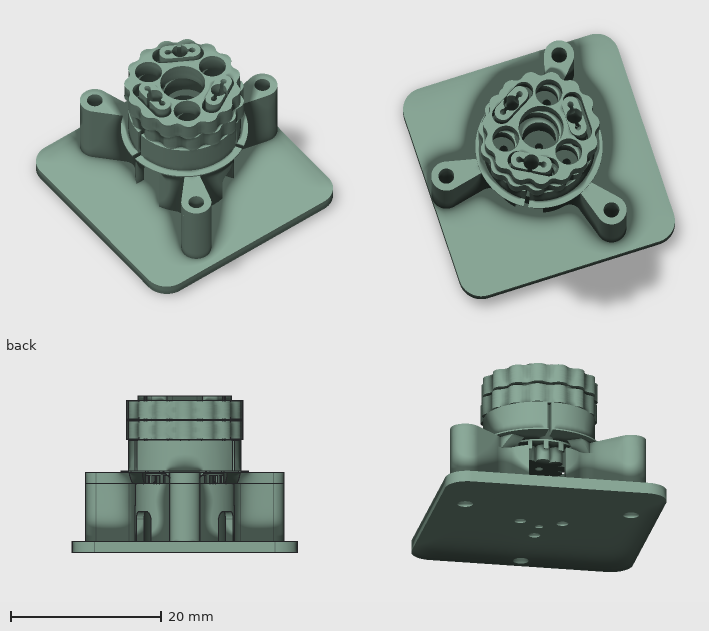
import cadquery as cq
import math

PLATE_TOP = 1.5
BASE_TOP = 9.2
ARM_TOP = 10.7
FLANGE_TOP = 10.9
HUB_TOP = 15.0
POST_TOP = 20.9

PLATE_SIDE = 30.0
PLATE_CORNER_RADIUS = 3.0
SHAFT_HOLE_DIAMETER = 1.1
MOUNT_HOLE_DIAMETER = 1.6
MOUNT_CIRCLE_RADIUS = 3.3
LEG_RADIUS = 2.0
LEG_CIRCLE_RADIUS = PLATE_SIDE / 2 - LEG_RADIUS
LEG_TAPER_ANGLE = math.radians(12.7)
BOLT_HOLE_DIAMETER = 2.1
LEG_ANGLES = (90, 210, 330)

RING_OUTER_RADIUS = 6.6
RING_INNER_RADIUS = 5.5
LEG_FILLET_RADIUS = 1.5
OPENING_WIDTH = 5.0
OPENING_ANGLE = 270
WINDOW_WIDTH = 3.8
WINDOW_TOP = 5.5
WINDOW_CORNER_RADIUS = 1.0
WINDOW_ANGLES = (30, 150)

FLANGE_RADIUS = 8.5
HUB_RADIUS = 7.5
BRACE_INNER_RADIUS = 5.67
BRACE_FOOT_WIDTH = 2.22
BRACE_HEAD_WIDTH = 5.52
HUB_BORE_DIAMETER = 4.5
PIN_HOLE_DIAMETER = 1.1
PIN_HOLE_DEPTH = 3.0
PIN_CIRCLE_RADIUS = 4.95
POST_LENGTH = 5.55
POST_WIDTH = 2.25
POST_ANGLES = (30, 150, 270)
POST_BORE_DIAMETER = 2.1
POST_LOWER_BORE_DIAMETER = 1.85
POST_BORE_STEP = 12.0
SLIT_WIDTH = 0.6
WIRE_HOLE_DIAMETER = 0.8
WIRE_HOLE_DEPTH = 4.5
WIRE_SLOT_DEPTH = 1.5
WIRE_SLOT_WIDTH = 0.48

LOBE_COUNT = 15
ECCENTRICITY = 0.3
RING_PIN_RADIUS = 0.75
DISC_LOBE_RADIUS = 7.8
RING_PIN_CIRCLE_RADIUS = DISC_LOBE_RADIUS - ECCENTRICITY + RING_PIN_RADIUS
POINTS_PER_LOBE = 12
DISC_THICKNESS = 2.5
LOWER_DISC_BOTTOM = 15.12
UPPER_DISC_BOTTOM = 17.8
DISC_BORE_DIAMETER = 6.0
DISC_ROUND_HOLE_DIAMETER = 3.6
DISC_SLOT_LENGTH = 6.93
DISC_SLOT_WIDTH = 2.58
DISC_SLOT_CIRCLE_RADIUS = PIN_CIRCLE_RADIUS + ECCENTRICITY / 2

BELL_TOP = 10.53
BELL_RADIUS = 5.25
BELL_CAP_THICKNESS = 0.25
BELL_WALL = 0.3
BELL_BAR_COUNT = 15
BELL_BAR_WIDTH = 0.6
MOTOR_BOTTOM = 8.22
MOTOR_BORE_DIAMETER = 1.1
COIL_COUNT = 9
COIL_DIAMETER = 1.85
COIL_CIRCLE_RADIUS = 2.85
CORE_RADIUS = 2.7


def polar(radius, degrees):
    angle = math.radians(degrees)
    return (radius * math.cos(angle), radius * math.sin(angle))


def cylinder(radius, bottom, top, center=(0, 0)):
    return cq.Workplane().workplane(offset=bottom).center(*center).circle(radius).extrude(top - bottom)


def turned(shape, degrees):
    return shape.rotate((0, 0, 0), (0, 0, 1), degrees)


def tangential_slot(length, width, radius, bottom, top, degrees):
    """Stadium at a radius from the part's axis, lying along the tangent."""
    stadium = (
        cq.Workplane()
        .workplane(offset=bottom)
        .center(radius, 0)
        .slot2D(length, width, 90)
        .extrude(top - bottom)
    )
    return turned(stadium, degrees)


def leg_half_width(distance):
    """Half-width of a leg's tapered stretch at a distance from the part's axis."""
    sine = math.sin(LEG_TAPER_ANGLE)
    return (LEG_RADIUS - (LEG_CIRCLE_RADIUS - distance) * sine) / math.cos(LEG_TAPER_ANGLE)


def leg(inner_distance, bottom, top, degrees):
    """Round-ended leg that narrows towards the part's axis."""
    inner_half = leg_half_width(inner_distance)
    tangent_x = LEG_CIRCLE_RADIUS - LEG_RADIUS * math.sin(LEG_TAPER_ANGLE)
    tangent_y = LEG_RADIUS * math.cos(LEG_TAPER_ANGLE)
    outline = (
        cq.Workplane()
        .workplane(offset=bottom)
        .moveTo(inner_distance, -inner_half)
        .lineTo(tangent_x, -tangent_y)
        .threePointArc((LEG_CIRCLE_RADIUS + LEG_RADIUS, 0), (tangent_x, tangent_y))
        .lineTo(inner_distance, inner_half)
        .close()
    )
    return turned(outline.extrude(top - bottom), degrees)


def bolt_holes():
    holes = cq.Workplane()
    for degrees in LEG_ANGLES:
        center = polar(LEG_CIRCLE_RADIUS, degrees)
        holes = holes.union(cylinder(BOLT_HOLE_DIAMETER / 2, 0, ARM_TOP, center))
    return holes


def radial_block(width, bottom, top, degrees):
    """Block that reaches from the part's axis out to the flange radius."""
    block = (
        cq.Workplane()
        .box(FLANGE_RADIUS, width, top - bottom, centered=(False, True, False))
        .translate((0, 0, bottom))
    )
    return turned(block, degrees)


def build_base():
    """Plate with three legs joined by a ring wall that has one opening and two windows."""
    plate = (
        cq.Workplane()
        .rect(PLATE_SIDE, PLATE_SIDE)
        .extrude(PLATE_TOP)
        .edges("|Z")
        .fillet(PLATE_CORNER_RADIUS)
    )
    wall = cylinder(RING_OUTER_RADIUS, PLATE_TOP, BASE_TOP)
    for degrees in LEG_ANGLES:
        wall = wall.union(leg(RING_INNER_RADIUS, PLATE_TOP, BASE_TOP, degrees))
    corner_reach = RING_OUTER_RADIUS
    corner_box = cq.selectors.BoxSelector(
        (-corner_reach, -corner_reach, PLATE_TOP), (corner_reach, corner_reach, BASE_TOP)
    )
    wall = wall.edges("|Z").edges(corner_box).fillet(LEG_FILLET_RADIUS)
    wall = wall.cut(cylinder(RING_INNER_RADIUS, PLATE_TOP, BASE_TOP))
    wall = wall.cut(radial_block(OPENING_WIDTH, PLATE_TOP, BASE_TOP, OPENING_ANGLE))
    for degrees in WINDOW_ANGLES:
        window = radial_block(WINDOW_WIDTH, PLATE_TOP, WINDOW_TOP, 0)
        window = window.edges("|X and >Z").fillet(WINDOW_CORNER_RADIUS)
        wall = wall.cut(turned(window, degrees))
    base = plate.union(wall).cut(bolt_holes())
    for degrees in LEG_ANGLES:
        center = polar(MOUNT_CIRCLE_RADIUS, degrees)
        base = base.cut(cylinder(MOUNT_HOLE_DIAMETER / 2, 0, PLATE_TOP, center))
    return base.cut(cylinder(SHAFT_HOLE_DIAMETER / 2, 0, PLATE_TOP))


def arm_brace(degrees):
    """Brace under the hub that widens upwards on both sides of its arm."""
    height = ARM_TOP - BASE_TOP
    foot = BRACE_FOOT_WIDTH / 2
    head = BRACE_HEAD_WIDTH / 2
    profile = [(-foot, 0), (foot, 0), (head, height), (-head, height)]
    prism = cq.Workplane("YZ").polyline(profile).close().extrude(FLANGE_RADIUS)
    prism = turned(prism.translate((0, 0, BASE_TOP)), degrees)
    annulus = cylinder(HUB_RADIUS, BASE_TOP, ARM_TOP)
    annulus = annulus.cut(cylinder(BRACE_INNER_RADIUS, BASE_TOP, ARM_TOP))
    return prism.intersect(annulus)


def post(degrees):
    return tangential_slot(POST_LENGTH, POST_WIDTH, PIN_CIRCLE_RADIUS, HUB_TOP, POST_TOP, degrees)


def post_cutter(degrees):
    """Stepped bore, outward slit and sloping wire holes of one post, as one cutting shape."""
    center = (PIN_CIRCLE_RADIUS, 0)
    cutter = cylinder(POST_BORE_DIAMETER / 2, POST_BORE_STEP, POST_TOP, center)
    cutter = cutter.union(cylinder(POST_LOWER_BORE_DIAMETER / 2, ARM_TOP, POST_BORE_STEP, center))
    slit = radial_block(SLIT_WIDTH, ARM_TOP, POST_TOP, 0)
    cutter = cutter.union(slit.translate((PIN_CIRCLE_RADIUS, 0, 0)))
    hole_offset = (POST_LENGTH - POST_WIDTH) / 2
    for side in (-1, 1):
        mouth = cq.Vector(PIN_CIRCLE_RADIUS, side * hole_offset, POST_TOP)
        foot = cq.Vector(PIN_CIRCLE_RADIUS, 0, POST_TOP - WIRE_HOLE_DEPTH)
        slope = mouth - foot
        hole = cq.Solid.makeCylinder(WIRE_HOLE_DIAMETER / 2, slope.Length + WIRE_HOLE_DIAMETER, foot, slope)
        cutter = cutter.union(cq.Workplane(hole))
    slot_length = 2 * hole_offset - WIRE_HOLE_DIAMETER / 2
    wire_slot = (
        cq.Workplane()
        .box(WIRE_SLOT_WIDTH, slot_length, WIRE_SLOT_DEPTH, centered=(True, True, False))
        .translate((PIN_CIRCLE_RADIUS, 0, POST_TOP - WIRE_SLOT_DEPTH))
    )
    return turned(cutter.union(wire_slot), degrees)


def build_hub():
    """Hub on three arms that stand on the base legs, with three posts on top."""
    hub = cylinder(FLANGE_RADIUS, ARM_TOP, FLANGE_TOP).union(cylinder(HUB_RADIUS, ARM_TOP, HUB_TOP))
    for degrees in LEG_ANGLES:
        hub = hub.union(leg(RING_OUTER_RADIUS, BASE_TOP, ARM_TOP, degrees))
        hub = hub.union(arm_brace(degrees))
    for degrees in POST_ANGLES:
        hub = hub.union(post(degrees))
    for degrees in POST_ANGLES:
        hub = hub.cut(post_cutter(degrees))
    for degrees in LEG_ANGLES:
        center = polar(PIN_CIRCLE_RADIUS, degrees)
        hub = hub.cut(cylinder(PIN_HOLE_DIAMETER / 2, HUB_TOP - PIN_HOLE_DEPTH, HUB_TOP, center))
    hub = hub.cut(cylinder(HUB_BORE_DIAMETER / 2, ARM_TOP, HUB_TOP))
    return hub.cut(bolt_holes())


def cycloid_point(angle):
    """Point of the disc outline that meshes with LOBE_COUNT + 1 ring pins; a valley lies at angle 0."""
    pin_count = LOBE_COUNT + 1
    phase = LOBE_COUNT * angle
    lean = math.atan2(
        -math.sin(phase), RING_PIN_CIRCLE_RADIUS / (ECCENTRICITY * pin_count) - math.cos(phase)
    )
    x = (
        RING_PIN_CIRCLE_RADIUS * math.cos(angle)
        - RING_PIN_RADIUS * math.cos(angle + lean)
        - ECCENTRICITY * math.cos(pin_count * angle)
    )
    y = (
        RING_PIN_CIRCLE_RADIUS * math.sin(angle)
        - RING_PIN_RADIUS * math.sin(angle + lean)
        - ECCENTRICITY * math.sin(pin_count * angle)
    )
    return (x, y)


def build_disc(bottom, shift):
    """Cycloidal disc with a lobe pointing along +Y, moved along Y by the shift and cut clear of the posts."""
    top = bottom + DISC_THICKNESS
    point_count = LOBE_COUNT * POINTS_PER_LOBE
    outline = [cycloid_point(2 * math.pi * i / point_count) for i in range(point_count)]
    disc = cq.Workplane().workplane(offset=bottom).spline(outline, periodic=True).close()
    lobe_angle = 180 / LOBE_COUNT
    disc = turned(disc.extrude(DISC_THICKNESS), 90 - lobe_angle)
    disc = disc.cut(cylinder(DISC_BORE_DIAMETER / 2, bottom, top))
    for degrees in LEG_ANGLES:
        center = polar(PIN_CIRCLE_RADIUS, degrees)
        disc = disc.cut(cylinder(DISC_ROUND_HOLE_DIAMETER / 2, bottom, top, center))
    for degrees in POST_ANGLES:
        slot = tangential_slot(
            DISC_SLOT_LENGTH, DISC_SLOT_WIDTH, DISC_SLOT_CIRCLE_RADIUS, bottom, top, degrees
        )
        disc = disc.cut(slot)
    disc = disc.translate((0, shift, 0))
    for degrees in POST_ANGLES:
        disc = disc.cut(post(degrees))
    return disc


def build_motor():
    """Motor with a capped bell of upright bars around a core ringed with coils."""
    cap_bottom = BELL_TOP - BELL_CAP_THICKNESS
    rim = cylinder(BELL_RADIUS, BASE_TOP, cap_bottom)
    rim = rim.cut(cylinder(BELL_RADIUS - BELL_WALL, BASE_TOP, cap_bottom))
    motor = cylinder(BELL_RADIUS, cap_bottom, BELL_TOP)
    for i in range(BELL_BAR_COUNT):
        bar_angle = OPENING_ANGLE + i * 360 / BELL_BAR_COUNT
        bar = radial_block(BELL_BAR_WIDTH, BASE_TOP, cap_bottom, bar_angle)
        motor = motor.union(bar.intersect(rim))
    motor = motor.union(cylinder(CORE_RADIUS, MOTOR_BOTTOM, cap_bottom))
    for i in range(COIL_COUNT):
        center = polar(COIL_CIRCLE_RADIUS, OPENING_ANGLE + i * 360 / COIL_COUNT)
        motor = motor.union(cylinder(COIL_DIAMETER / 2, MOTOR_BOTTOM, cap_bottom, center))
    return motor.cut(cylinder(MOTOR_BORE_DIAMETER / 2, MOTOR_BOTTOM, BELL_TOP))


base = build_base()
hub = build_hub()
motor = build_motor()
discs = [
    build_disc(bottom, shift)
    for bottom, shift in ((LOWER_DISC_BOTTOM, ECCENTRICITY), (UPPER_DISC_BOTTOM, -ECCENTRICITY))
]

bodies = [base, hub, motor, *discs]
result = cq.Compound.makeCompound([body.val() for body in bodies])